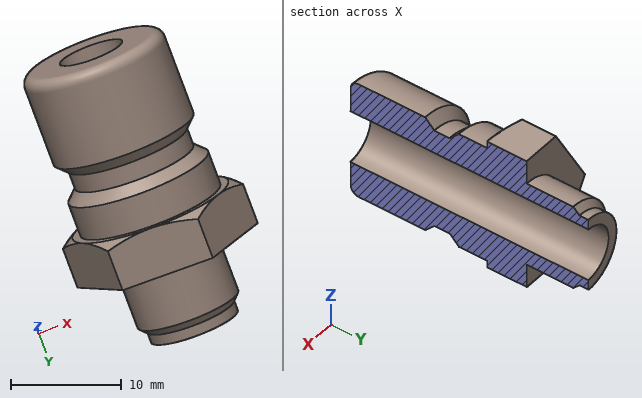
import cadquery as cq
import math

total_length = 27.0
bore_diameter = 6.0

body_diameter = 13.5
front_round = 1.0
groove_diameter = 11.42
groove_start = 8.5
groove_end = 12.3
groove_flank = (body_diameter - groove_diameter) / 2

hex_across_flats = 15.0
hex_across_corners = hex_across_flats / math.cos(math.radians(30))
hex_start = 15.5
hex_end = 20.0
hex_chamfer_angle = 30.0

stem_diameter = 9.72
stem_end = 25.3
tip_diameter = 8.37
tip_start = 26.0


def revolve_about_y(profile):
    """Turn a closed (radius, Y) profile one full turn about the Y axis."""
    return profile.close().revolve(360, (0, 0, 0), (0, 1, 0))


def turned_body():
    body_radius = body_diameter / 2
    groove_radius = groove_diameter / 2
    stem_radius = stem_diameter / 2
    tip_radius = tip_diameter / 2
    arc_offset = front_round * (1 - math.sqrt(0.5))
    profile = (
        cq.Workplane("XY")
        .lineTo(body_radius - front_round, 0)
        .threePointArc((body_radius - arc_offset, arc_offset), (body_radius, front_round))
        .lineTo(body_radius, groove_start)
        .lineTo(groove_radius, groove_start + groove_flank)
        .lineTo(groove_radius, groove_end - groove_flank)
        .lineTo(body_radius, groove_end)
        .lineTo(body_radius, hex_start)
        .lineTo(stem_radius, hex_start)
        .lineTo(stem_radius, stem_end)
        .lineTo(tip_radius, tip_start)
        .lineTo(tip_radius, total_length)
        .lineTo(0, total_length)
    )
    return revolve_about_y(profile)


def chamfered_hexagon():
    flat_radius = hex_across_flats / 2
    corner_radius = hex_across_corners / 2
    chamfer_length = (corner_radius - flat_radius) * math.tan(math.radians(hex_chamfer_angle))
    prism = (
        cq.Workplane("XZ", origin=(0, hex_end, 0))
        .polygon(6, hex_across_corners)
        .extrude(hex_end - hex_start)
    )
    envelope = revolve_about_y(
        cq.Workplane("XY")
        .moveTo(0, hex_start)
        .lineTo(flat_radius, hex_start)
        .lineTo(corner_radius, hex_start + chamfer_length)
        .lineTo(corner_radius, hex_end)
        .lineTo(0, hex_end)
    )
    return prism.intersect(envelope)


def through_bore():
    return (
        cq.Workplane("XZ", origin=(0, total_length, 0))
        .circle(bore_diameter / 2)
        .extrude(total_length)
    )


result = turned_body().union(chamfered_hexagon()).cut(through_bore())